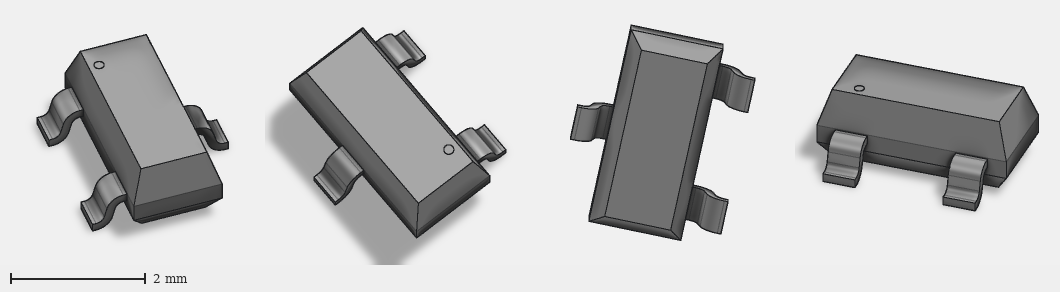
import cadquery as cq
import math


body_length = 3.0
body_width = 1.398
body_height = 1.165
belt_bottom = 0.312
belt_top = 0.603
top_inset = 0.177
bottom_inset = 0.198

span = 2.49
lead_width = 0.507
lead_thickness = 0.135
lead_top = 0.585
lead_pitch = 1.902
bend_inner_radius = 0.135
bend_angle = math.radians(75)

mark_diameter = 0.15
mark_thickness = 0.005
mark_x = -0.95
mark_y = -0.36


def make_frustum(start_z, end_z, end_inset):
    """Taper from the belt outline at start_z to the inset outline at end_z."""
    return (
        cq.Workplane("XY")
        .workplane(offset=start_z)
        .rect(body_length, body_width)
        .workplane(offset=end_z - start_z)
        .rect(body_length - 2 * end_inset, body_width - 2 * end_inset)
        .loft(ruled=True)
    )


def make_housing():
    belt = (
        cq.Workplane("XY")
        .workplane(offset=belt_bottom)
        .rect(body_length, body_width)
        .extrude(belt_top - belt_bottom)
    )
    upper = make_frustum(belt_top, body_height, top_inset)
    lower = make_frustum(belt_bottom, 0, bottom_inset)
    return belt.union(upper).union(lower)


def make_lead():
    """Gull-wing lead, centred on X = 0, against the +Y wall of the housing."""
    inner = bend_inner_radius
    outer = inner + lead_thickness
    wall = body_width / 2
    tip = span / 2

    bend_run = (inner + outer) * math.sin(bend_angle)
    bend_drop = (inner + outer) * (1 - math.cos(bend_angle))
    web_drop = lead_top - lead_thickness - bend_drop
    web_run = web_drop / math.tan(bend_angle)
    flat = (tip - wall - bend_run - web_run) / 2

    upper_center = (wall + flat, lead_top - outer)
    lower_center = (tip - flat, outer)

    def upper_point(radius, angle):
        return (
            upper_center[0] + radius * math.sin(angle),
            upper_center[1] + radius * math.cos(angle),
        )

    def lower_point(radius, angle):
        return (
            lower_center[0] - radius * math.sin(angle),
            lower_center[1] - radius * math.cos(angle),
        )

    half = bend_angle / 2
    return (
        cq.Workplane("YZ", origin=(-lead_width / 2, 0, 0))
        .moveTo(wall, lead_top)
        .lineTo(*upper_point(outer, 0))
        .threePointArc(upper_point(outer, half), upper_point(outer, bend_angle))
        .lineTo(*lower_point(inner, bend_angle))
        .threePointArc(lower_point(inner, half), lower_point(inner, 0))
        .lineTo(tip, lead_thickness)
        .lineTo(tip, 0)
        .lineTo(*lower_point(outer, 0))
        .threePointArc(lower_point(outer, half), lower_point(outer, bend_angle))
        .lineTo(*upper_point(inner, bend_angle))
        .threePointArc(upper_point(inner, half), upper_point(inner, 0))
        .lineTo(wall, lead_top - lead_thickness)
        .close()
        .extrude(lead_width)
    )


def make_mark():
    """Thin disc lying on the top face of the housing."""
    return (
        cq.Workplane("XY", origin=(mark_x, mark_y, body_height))
        .circle(mark_diameter / 2)
        .extrude(mark_thickness)
    )


housing = make_housing()
mark = make_mark()

lead_places = [(0, 0), (-lead_pitch / 2, 180), (lead_pitch / 2, 180)]
leads = []
for place_x, turn in lead_places:
    lead = make_lead().rotate((0, 0, 0), (0, 0, 1), turn).translate((place_x, 0, 0))
    leads.append(lead.val())

result = cq.Compound.makeCompound([housing.val(), *leads, mark.val()])